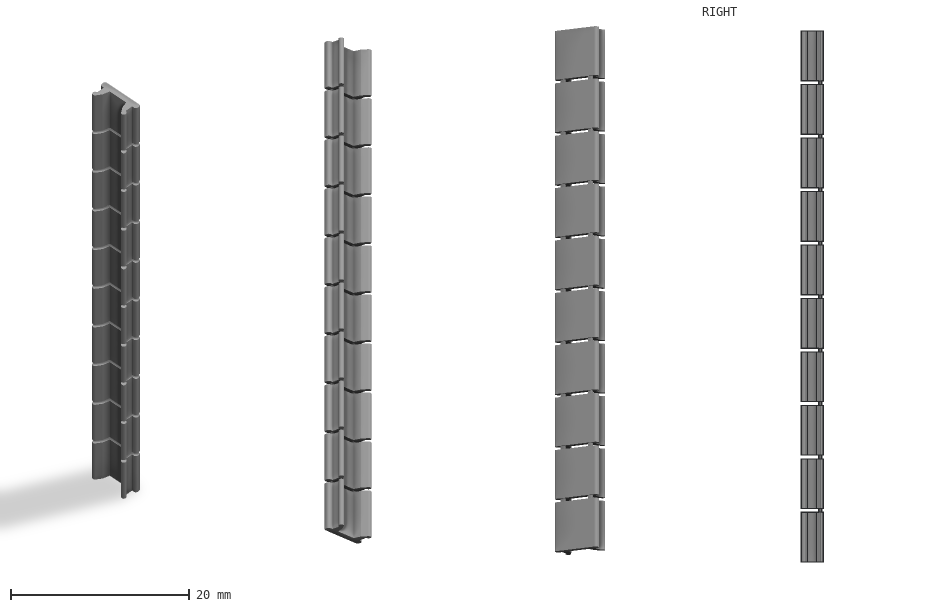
import cadquery as cq
import math

segment_count = 10
segment_length = 5.6
segment_gap = 0.4
segment_pitch = segment_length + segment_gap
strip_length = segment_count * segment_pitch - segment_gap

plate_width = 5.6
profile_depth = 2.5
plate_thickness = 0.8
plate_edge_radius = 0.3
back_y = profile_depth / 2
plate_front_y = back_y - plate_thickness

leg_outer_x = 2.2
leg_inner_x = 1.28
knee_inner_x = 1.53
root_inner_length = 0.88
tip_radius = 0.3
tip_center_x = 2.25
tip_center_y = back_y - profile_depth + tip_radius
finger_angle = math.radians(40)

bar_width = 0.5
bar_thickness = 0.35
bar_center_x = 1.8
bar_depth = 0.35
bar_center_y = back_y - bar_depth


def make_plate():
    plate = cq.Workplane("XY").box(plate_width, plate_thickness, segment_length, centered=(True, True, False))
    plate = plate.translate((0, back_y - plate_thickness / 2, 0))
    return plate.edges("|Z").fillet(plate_edge_radius)


def tip_point(angle):
    """Point on the tip circle of the +X leg."""
    return (tip_center_x + tip_radius * math.cos(angle), tip_center_y + tip_radius * math.sin(angle))


def make_leg():
    """Leg on the +X side; its inner face is tangent to the round tip."""
    root_start_y = back_y - plate_thickness / 2
    root_end_y = plate_front_y - root_inner_length

    run_x = tip_center_x - knee_inner_x
    run_y = tip_center_y - root_end_y
    tangent_turn = math.asin(tip_radius / math.hypot(run_x, run_y))
    inner_angle = math.atan2(run_y, run_x) - tangent_turn
    inner_tip = tip_point(inner_angle - math.pi / 2)

    outer_tip = tip_point(math.pi / 2 - finger_angle)
    knee_y = outer_tip[1] + (outer_tip[0] - leg_outer_x) * math.tan(finger_angle)

    tip_end = tip_point((inner_angle - finger_angle) / 2)
    return (
        cq.Workplane("XY")
        .moveTo(leg_inner_x, root_start_y)
        .lineTo(leg_inner_x, plate_front_y)
        .lineTo(knee_inner_x, root_end_y)
        .lineTo(*inner_tip)
        .threePointArc(tip_end, outer_tip)
        .lineTo(leg_outer_x, knee_y)
        .lineTo(leg_outer_x, root_start_y)
        .close()
        .extrude(segment_length)
    )


def make_segment():
    leg = make_leg()
    return make_plate().union(leg).union(leg.mirror("YZ"))


def make_tie_bar(side):
    bar = cq.Workplane("XY").box(bar_width, bar_thickness, strip_length, centered=(True, True, False))
    return bar.translate((side * bar_center_x, bar_center_y, 0))


result = make_tie_bar(-1).union(make_tie_bar(1))
segment = make_segment()
for index in range(segment_count):
    result = result.union(segment.translate((0, 0, index * segment_pitch)))
result = result.translate((0, 0, -strip_length / 2))